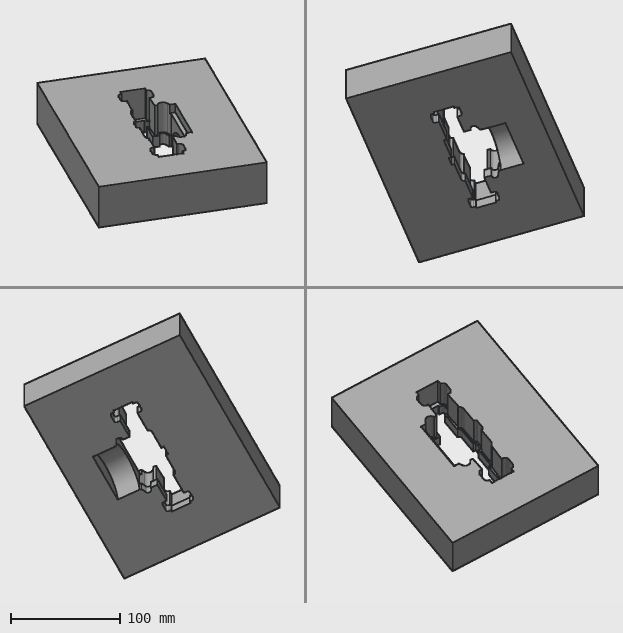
import cadquery as cq
import math

LENGTH = 200.0
WIDTH = 160.0
HEIGHT = 43.0

POCKET_DEPTH = 31.5
SHELF_DEPTH = 9.0

LEDGE = 1.8

HULL_BACK = 25.8
HULL_BACK_HALF = 25.0
HULL_SIDE = 27.8
HULL_BOTTOM = -11.8
HULL_CORNER_X = 22.5
EAR_X = 28.2
EAR_Y = 18.8
EAR_RADIUS = 3.2
EAR_SLOPE_NORMAL = math.radians(65)
NECK_HALF = 8.8
HULL_CORNER_RADIUS = -NECK_HALF - HULL_BOTTOM
LOBE_INNER_X = 46.5
LOBE_OUTER_X = 56.5
LOBE_HALF = 14.0
LOBE_RADIUS = 2.0
SPOUT_HALF = 4.2
SPOUT_BOTTOM = -14.5

NECK_FLARE = 0.5

END_NOTCH_HALF = 9.5
END_RECESS_X = 62.5
END_RECESS_HALF = 11.8
SHELF_BACK = 30.2
SHELF_HALF = 27.2

CHANNEL_RADIUS = 24.8
CHANNEL_BACK = 48.0


def block(x_min, x_max, y_min, y_max, depth):
    """Box between the given sides, reaching down from the top face."""
    return (
        cq.Workplane("XY")
        .box(x_max - x_min, y_max - y_min, depth, centered=False)
        .translate((x_min, y_min, HEIGHT - depth))
    )


def end_recesses(end_x, half_width, depth):
    """Matching rectangular recesses in the outer walls of both end lobes."""
    lobe_middle_x = (LOBE_INNER_X + LOBE_OUTER_X) / 2
    recess = block(lobe_middle_x, end_x, -half_width, half_width, depth)
    return recess.union(recess.mirror("YZ"))


def throat_outline():
    """Closed throat outline on the top face, without its end and back notches."""
    diagonal = math.sqrt(0.5)
    ear_foot = EAR_Y - math.sqrt(EAR_RADIUS**2 - (EAR_X - HULL_SIDE) ** 2)
    ear_end_x = EAR_X + EAR_RADIUS * math.cos(EAR_SLOPE_NORMAL)
    ear_end_y = EAR_Y + EAR_RADIUS * math.sin(EAR_SLOPE_NORMAL)
    slope_top_x = ear_end_x - (HULL_BACK - ear_end_y) * math.tan(EAR_SLOPE_NORMAL)
    round_x = LOBE_OUTER_X - LOBE_RADIUS
    inner_round_x = LOBE_INNER_X + LOBE_RADIUS
    round_y = LOBE_HALF - LOBE_RADIUS
    reach = LOBE_RADIUS * diagonal
    half = (
        cq.Workplane("XY", origin=(0, 0, HEIGHT))
        .moveTo(0, SPOUT_BOTTOM)
        .lineTo(SPOUT_HALF, SPOUT_BOTTOM)
        .lineTo(SPOUT_HALF, HULL_BOTTOM)
        .lineTo(HULL_CORNER_X, HULL_BOTTOM)
        .threePointArc(
            (HULL_CORNER_X + HULL_CORNER_RADIUS * diagonal,
             HULL_BOTTOM + HULL_CORNER_RADIUS * (1 - diagonal)),
            (HULL_CORNER_X + HULL_CORNER_RADIUS, -NECK_HALF),
        )
        .lineTo(LOBE_INNER_X, -NECK_HALF)
        .lineTo(LOBE_INNER_X, -round_y)
        .threePointArc((inner_round_x - reach, -round_y - reach), (inner_round_x, -LOBE_HALF))
        .lineTo(round_x, -LOBE_HALF)
        .threePointArc((round_x + reach, -round_y - reach), (LOBE_OUTER_X, -round_y))
        .lineTo(LOBE_OUTER_X, round_y)
        .threePointArc((round_x + reach, round_y + reach), (round_x, LOBE_HALF))
        .lineTo(inner_round_x, LOBE_HALF)
        .threePointArc((inner_round_x - reach, round_y + reach), (LOBE_INNER_X, round_y))
        .lineTo(LOBE_INNER_X, NECK_HALF)
        .lineTo(HULL_SIDE, NECK_HALF)
        .lineTo(HULL_SIDE, ear_foot)
        .threePointArc((EAR_X + EAR_RADIUS, EAR_Y), (ear_end_x, ear_end_y))
        .lineTo(slope_top_x, HULL_BACK)
        .lineTo(0, HULL_BACK)
    )
    return half.mirrorY()


def throat():
    """Opening through the full height, notched to meet the pocket walls at the ends and back."""
    opening = throat_outline().extrude(-HEIGHT)
    end_notches = end_recesses(LOBE_OUTER_X + LEDGE, END_NOTCH_HALF, HEIGHT)
    back_notch = block(-HULL_BACK_HALF, HULL_BACK_HALF, EAR_Y, HULL_BACK, HEIGHT)
    return opening.union(end_notches).union(back_notch)


def neck_flares():
    """Thin wedges that widen both pocket necks toward the hull."""
    neck_y = NECK_HALF + LEDGE
    outer_x = LOBE_INNER_X - LEDGE
    wedge = (
        cq.Workplane("XY", origin=(0, 0, HEIGHT))
        .polyline([
            (outer_x, neck_y),
            (HULL_SIDE, neck_y + NECK_FLARE),
            (HULL_SIDE, -neck_y - NECK_FLARE),
            (outer_x, -neck_y),
        ])
        .close()
        .extrude(-POCKET_DEPTH)
    )
    return wedge.union(wedge.mirror("YZ"))


def pocket():
    """Wider upper pocket whose back wall stays flush with the throat."""
    main = throat_outline().offset2D(LEDGE, "arc").extrude(-POCKET_DEPTH)
    ends = end_recesses(END_RECESS_X, END_RECESS_HALF, POCKET_DEPTH)
    behind_back_wall = block(-EAR_X, EAR_X, HULL_BACK, SHELF_BACK, POCKET_DEPTH)
    return main.cut(behind_back_wall).union(ends).union(neck_flares())


def back_shelf():
    """Shallow step along the back of the hull."""
    return block(-SHELF_HALF, SHELF_HALF, EAR_Y, SHELF_BACK, SHELF_DEPTH)


def bottom_channel():
    """Half-round channel along +Y, with its axis on the bottom face."""
    return (
        cq.Workplane("XZ")
        .circle(CHANNEL_RADIUS)
        .extrude(-CHANNEL_BACK)
    )


result = cq.Workplane("XY").box(LENGTH, WIDTH, HEIGHT, centered=(True, True, False))
for opening in (throat(), pocket(), back_shelf(), bottom_channel()):
    result = result.cut(opening)